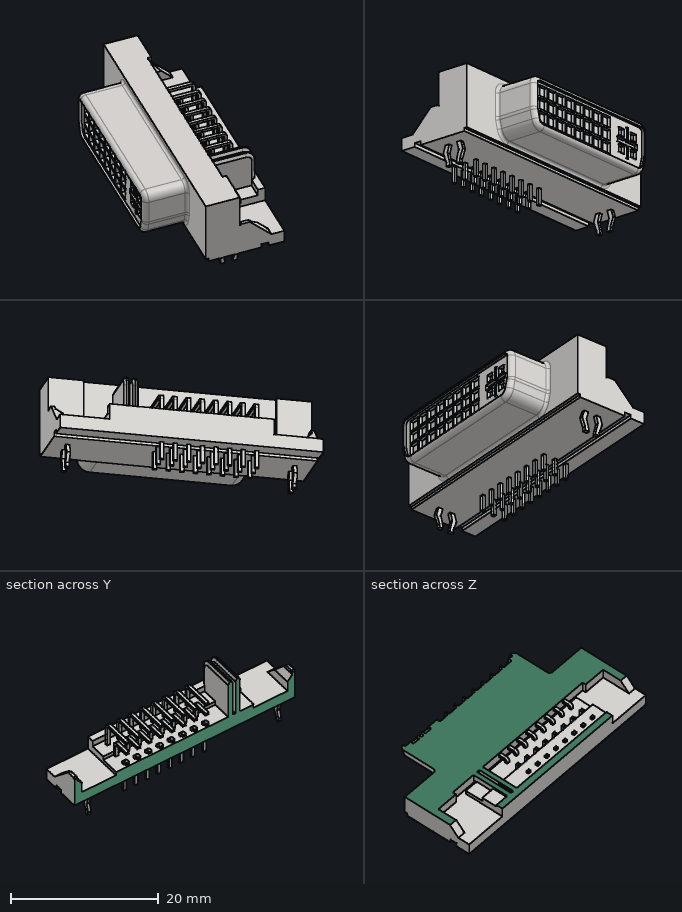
import cadquery as cq
import math


width = 36.83
block_depth = 5.0
block_height = 9.87
front_step = 0.45
notch_half_width = 13.48
notch_depth = 0.55

rear_y = 11.53
plate_height = 1.9
base_groove_y = (8.18, 9.2)
base_groove_height = 0.55
center_half_width = 11.5
lip_height = 4.12
lip_thickness = 1.1
ledge_height = 3.13
ledge_start_y = 7.95
well_height = 2.5

rib_width = 1.3
rib_top_width = 0.48
rib_top = 5.1
rib_toe_y = 9.6
rib_taper_heights = (3.57, 4.53)
rib_relief = (0.22, 0.15)

shell_half_width = 12.0
shell_length = 6.52
shell_bottom = 1.0
shell_top = 8.75
shell_kink_z = 3.75
shell_side_angle = 15.0
shell_top_radius = 1.33
shell_low_radius = 1.75
shell_front_radius = 0.77
shell_root_radius = 0.45
face_recess = 0.4

columns = 8
rows = 3
first_column_x = -9.55
last_column_x = 3.75
contact_pitch = (last_column_x - first_column_x) / (columns - 1)
column_xs = [first_column_x + i * contact_pitch for i in range(columns)]
middle_row_z = 4.9
row_zs = [middle_row_z + (i - (rows - 1) / 2) * contact_pitch for i in range(rows)]
contact_size = 1.6
contact_depth = 0.5

cross_x = 8.2
cross_z = 4.95
cross_slot_x = (4.2, 0.77)
cross_slot_z = (0.4, 4.55)
cross_hole_size = 1.15
cross_hole_offset = 1.25

pin_width = 0.5
pin_thickness = 0.4
pin_bend_radius = 0.63
pin_bottom = -2.43
first_pin_y = 5.8
pin_embed = 0.35
pin_root_y = block_depth - notch_depth - pin_embed

blade_xs = (7.62, 8.85)
blade_width = 0.8
blade_land = 0.3
blade_edge_inset = 0.5
blade_rear_y = 10.98
blade_top = 8.88
blade_corner_radius = 1.35

clip_x = 15.87
clip_thickness = 0.5
clip_center_y = 4.35
clip_inner = [(0.65, 0.0), (1.0, -1.18), (0.65, -2.43), (0.55, -3.1)]
clip_outer = [(1.2, -3.1), (1.2, -2.55), (1.73, -1.18), (1.35, 0.0)]

sides = (-1, 1)


def box(x_range, y_range, z_range):
    """Box spanning the given (low, high) ranges."""
    lows, highs = zip(x_range, y_range, z_range)
    sizes = [high - low for low, high in zip(lows, highs)]
    return cq.Workplane("XY").box(*sizes, centered=False).translate(lows)


def centered_box(half_width, y_range, z_range):
    return box((-half_width, half_width), y_range, z_range)


def extrude_along_x(outline, x_center, thickness):
    """Prism of a closed (y, z) outline, centred on x_center."""
    return outline.extrude(thickness / 2, both=True).translate((x_center, 0, 0))


def make_block():
    block = centered_box(width / 2, (0, block_depth), (0, block_height))
    step = centered_box(width / 2, (0, front_step), (0, front_step))
    notch = centered_box(
        notch_half_width, (block_depth - notch_depth, block_depth), (plate_height, block_height)
    )
    return block.cut(step).cut(notch)


def make_rib(side):
    """End rib: a sloped side outline trimmed by a section that narrows towards the top."""
    relief_y, relief_z = rib_relief
    slope_top_y = rib_toe_y - (rib_top - plate_height)
    outline = cq.Workplane("YZ").polyline([
        (block_depth, 0),
        (rib_toe_y, 0),
        (rib_toe_y, plate_height),
        (slope_top_y, rib_top),
        (block_depth + relief_y, rib_top),
        (block_depth, rib_top - relief_z),
    ]).close()
    rib = extrude_along_x(outline, side * (width - rib_width) / 2, rib_width)
    outer = side * width / 2
    inner_low = outer - side * rib_width
    inner_high = outer - side * rib_top_width
    taper_start, taper_end = rib_taper_heights
    section = cq.Workplane("XZ").polyline([
        (outer, 0),
        (inner_low, 0),
        (inner_low, taper_start),
        (inner_high, taper_end),
        (inner_high, rib_top),
        (outer, rib_top),
    ]).close().extrude(-rear_y)
    return rib.intersect(section)


def make_base():
    center_sections = [
        ((block_depth, ledge_start_y), well_height),
        ((ledge_start_y, rear_y - lip_thickness), ledge_height),
        ((rear_y - lip_thickness, rear_y), lip_height),
    ]
    base = centered_box(width / 2, (block_depth, rear_y), (0, plate_height))
    for y_range, height in center_sections:
        base = base.union(centered_box(center_half_width, y_range, (0, height)))
    for side in sides:
        base = base.union(make_rib(side))
    return base.cut(centered_box(width / 2, base_groove_y, (0, base_groove_height)))


def make_shell():
    slant = (shell_kink_z - shell_bottom) * math.tan(math.radians(shell_side_angle))
    bottom_half_width = shell_half_width - slant
    shell = cq.Workplane("XZ").polyline([
        (-shell_half_width, shell_top),
        (shell_half_width, shell_top),
        (shell_half_width, shell_kink_z),
        (bottom_half_width, shell_bottom),
        (-bottom_half_width, shell_bottom),
        (-shell_half_width, shell_kink_z),
    ]).close().extrude(shell_length)
    middle_z = (shell_top + shell_kink_z) / 2
    upper = cq.selectors.BoxSelector((-width, -width, middle_z), (width, width, block_height))
    lower = cq.selectors.BoxSelector((-width, -width, 0), (width, width, middle_z))
    shell = shell.edges("|Y").edges(upper).fillet(shell_top_radius)
    shell = shell.edges("|Y").edges(lower).fillet(shell_low_radius)
    shell = shell.faces("<Y").edges().fillet(shell_front_radius)
    return shell.faces("<Y").wires().toPending().workplane().cutBlind(-face_recess)


def join_shell(block, shell):
    """Unite shell and block and round the concave edge between them."""
    margin = 0.05
    root = cq.selectors.BoxSelector(
        (-shell_half_width - margin, -margin, shell_bottom - margin),
        (shell_half_width + margin, margin, shell_top + margin),
        boundingbox=True,
    )
    return block.union(shell).edges(root).fillet(shell_root_radius)


def make_socket(x_center, z_center, x_size, z_size):
    """Blind rectangular socket in the recessed contact face inside the shell rim."""
    face_y = face_recess - shell_length
    return box(
        (x_center - x_size / 2, x_center + x_size / 2),
        (face_y, face_y + contact_depth),
        (z_center - z_size / 2, z_center + z_size / 2),
    )


def cut_sockets(body):
    for x in column_xs:
        for z in row_zs:
            body = body.cut(make_socket(x, z, contact_size, contact_size))
    for slot_size in (cross_slot_x, cross_slot_z):
        body = body.cut(make_socket(cross_x, cross_z, *slot_size))
    for x_side in sides:
        for z_side in sides:
            x = cross_x + x_side * cross_hole_offset
            z = cross_z + z_side * cross_hole_offset
            body = body.cut(make_socket(x, z, cross_hole_size, cross_hole_size))
    return body


def make_pin(x, row):
    """L-shaped pin: out of the block at its row height, then down through the base."""
    outer_y = first_pin_y + row * contact_pitch + pin_thickness / 2
    outer_z = row_zs[row] + pin_thickness / 2
    inner_y = outer_y - pin_thickness
    inner_z = outer_z - pin_thickness
    inner_radius = pin_bend_radius - pin_thickness
    diagonal = math.sqrt(0.5)
    bend_y = outer_y - pin_bend_radius
    bend_z = outer_z - pin_bend_radius
    outline = (
        cq.Workplane("YZ")
        .moveTo(pin_root_y, outer_z)
        .lineTo(bend_y, outer_z)
        .threePointArc(
            (bend_y + pin_bend_radius * diagonal, bend_z + pin_bend_radius * diagonal),
            (outer_y, bend_z),
        )
        .lineTo(outer_y, pin_bottom)
        .lineTo(inner_y, pin_bottom)
        .lineTo(inner_y, bend_z)
        .threePointArc(
            (bend_y + inner_radius * diagonal, bend_z + inner_radius * diagonal),
            (bend_y, inner_z),
        )
        .lineTo(pin_root_y, inner_z)
        .close()
    )
    return extrude_along_x(outline, x, pin_width)


def make_blade_outline():
    """Blade side outline, long enough to root in the block and the base."""
    corner_y = blade_rear_y - blade_corner_radius
    corner_z = blade_top - blade_corner_radius
    reach = blade_corner_radius * math.sqrt(0.5)
    blade_root_y = block_depth - notch_depth - blade_edge_inset
    return (
        cq.Workplane("YZ")
        .moveTo(blade_root_y, plate_height)
        .lineTo(blade_root_y, blade_top)
        .lineTo(corner_y, blade_top)
        .threePointArc((corner_y + reach, corner_z + reach), (blade_rear_y, corner_z))
        .lineTo(blade_rear_y, plate_height)
        .close()
    )


def make_blade(x):
    """Upright blade with a flat edge land and both flanks sloping in from its outline."""
    bevel_width = (blade_width - blade_land) / 2
    bevel_angle = math.degrees(math.atan2(blade_edge_inset, bevel_width))
    blade = extrude_along_x(make_blade_outline(), x, blade_land)
    for side in sides:
        flank = make_blade_outline().extrude(side * bevel_width, taper=bevel_angle)
        blade = blade.union(flank.translate((x + side * blade_land / 2, 0, 0)))
    return blade


def make_clip(x):
    """Pair of mirrored spring legs, rooted in the underside of the block and base."""
    legs = cq.Workplane("XY")
    for side in sides:
        points = [(clip_center_y + side * offset, z) for offset, z in clip_inner + clip_outer]
        outline = cq.Workplane("YZ").polyline(points).close()
        legs = legs.add(extrude_along_x(outline, x, clip_thickness))
    return legs


body = join_shell(make_block(), make_shell())
body = cut_sockets(body).union(make_base())
for side in sides:
    body = body.union(make_clip(side * clip_x))
for blade_x in blade_xs:
    body = body.union(make_blade(blade_x))
for pin_x in column_xs:
    for pin_row in range(rows):
        body = body.union(make_pin(pin_x, pin_row))

result = body